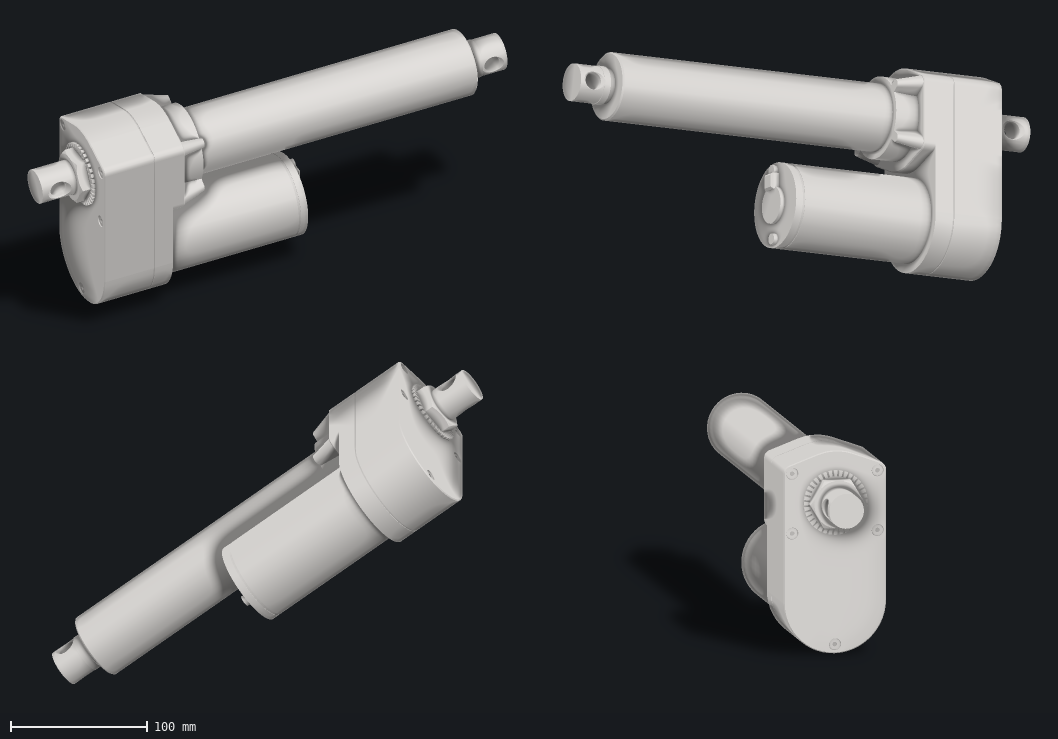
import cadquery as cq
import math


half_width = 38.5
motor_drop = 74.5
roof_tangent_x = 13.2
shoulder_radius = 6.0
thin_depth = 56.0
thick_depth = 66.0
edge_chamfer = 0.8
seam_y = 41.0
seam_width = 1.0
seam_depth = 0.55

screw_x = 32.0
screw_z = 22.5
bottom_screw_z = -106.5
counterbore_diameter = 9.0
counterbore_depth = 2.3
head_diameter = 8.5
head_height = 1.5
socket_diameter = 3.45
socket_depth = 1.0

collar_diameter = 61.5
collar_end = 84.8
boss_base = (32.0, 22.5, 5.3)
boss_tip = (29.0, 20.0, 3.5)
boss_root = 15.0

tube_diameter = 50.7
tube_end = 311.5
tube_chamfer = 1.0

motor_diameter = 63.5
motor_end = 169.5
motor_groove_diameter = 63.0
motor_groove_y = 162.0
motor_groove_width = 2.0
end_detail_height = 3.5
bearing_diameter = 28.0
motor_screw_diameter = 8.5
motor_screw_offset = 25.7
terminal_height = 6.5
terminal_size = 12.0
terminal_offset = 17.0
terminal_chamfer = 1.5

washer_diameter = 48.0
washer_thickness = 2.3
tooth_count = 36
tooth_gap_width = 1.5
tooth_gap_depth = 4.5
nut_flats = 35.2
nut_front = -10.2
nut_chamfer_diameter = 35.5
clevis_diameter = 26.0
clevis_front = -38.0
clevis_hole_y = -24.0
clevis_flare_diameter = 18.5

rod_tip = 340.5
rod_diameter = 26.0
eye_diameter = 28.0
rod_collar_diameter = 28.8
rod_collar_start = 315.5
rod_collar_end = 321.0
rod_hole_y = 329.3
rod_flare_diameter = 17.0

pin_diameter = 13.0


def rod_along_y(diameter, start, end, x=0, z=0):
    """Cylinder along Y from start to end."""
    return cq.Workplane(cq.Solid.makeCylinder(
        diameter / 2, end - start, cq.Vector(x, start, z), cq.Vector(0, 1, 0)))


def prism_along_y(outline, start, end):
    """Closed outline drawn in X and Z, extruded from start to end along Y."""
    return outline.extrude(start - end).translate((0, start, 0))


def pin_hole(y, shaft_diameter, flare_diameter):
    """Cross hole along X whose mouths flare at 45 degrees up to the shaft surface."""
    reach = shaft_diameter
    flare = (flare_diameter - pin_diameter) / 2
    inner_x = shaft_diameter / 2 - flare
    outer_radius = pin_diameter / 2 + reach - inner_x
    return (
        cq.Workplane("XY")
        .moveTo(-reach, 0)
        .lineTo(-reach, outer_radius)
        .lineTo(-inner_x, pin_diameter / 2)
        .lineTo(inner_x, pin_diameter / 2)
        .lineTo(reach, outer_radius)
        .lineTo(reach, 0)
        .close()
        .revolve(360, (0, 0, 0), (1, 0, 0))
        .translate((0, y, 0))
    )


roof_tangent_z = math.sqrt(half_width**2 - roof_tangent_x**2)
roof_slope = roof_tangent_x / roof_tangent_z
shoulder_z = roof_tangent_z - roof_slope * (half_width - roof_tangent_x)


def round_shoulders(block, z_sign):
    """Round the two long edges where the slopes meet the sides."""
    for x in (-half_width, half_width):
        near = cq.selectors.NearestToPointSelector((x, thin_depth / 2, z_sign * shoulder_z))
        block = block.edges("|Y").edges(near).fillet(shoulder_radius)
    return block


def gear_case():
    """Full outline around tube and motor, rounded at the bottom about the motor axis."""
    outline = (
        cq.Workplane("XZ")
        .moveTo(-roof_tangent_x, roof_tangent_z)
        .threePointArc((0, half_width), (roof_tangent_x, roof_tangent_z))
        .lineTo(half_width, shoulder_z)
        .lineTo(half_width, -motor_drop)
        .threePointArc((0, -motor_drop - half_width), (-half_width, -motor_drop))
        .lineTo(-half_width, shoulder_z)
        .close()
    )
    return round_shoulders(prism_along_y(outline, 0, thin_depth), 1)


def rear_pad():
    """Thicker part around the tube behind the seam, with an underside that mirrors the roof."""
    outline = (
        cq.Workplane("XZ")
        .moveTo(-roof_tangent_x, roof_tangent_z)
        .threePointArc((0, half_width), (roof_tangent_x, roof_tangent_z))
        .lineTo(half_width, shoulder_z)
        .lineTo(half_width, -shoulder_z)
        .lineTo(roof_tangent_x, -roof_tangent_z)
        .threePointArc((0, -half_width), (-roof_tangent_x, -roof_tangent_z))
        .lineTo(-half_width, -shoulder_z)
        .lineTo(-half_width, shoulder_z)
        .close()
    )
    pad = prism_along_y(outline, seam_y + seam_width / 2, thick_depth)
    pad = round_shoulders(round_shoulders(pad, 1), -1)
    return pad.faces(">Y").chamfer(edge_chamfer)


def seam_groove(case):
    """Thin band around the case that marks the joint between its two halves."""
    case_height = 2 * half_width + motor_drop
    slab = cq.Workplane("XY").box(2 * half_width, seam_width, case_height)
    band = case.intersect(slab.translate((0, seam_y, -motor_drop / 2)))
    rim = band.faces("<Y").val().outerWire()
    core = cq.Solid.extrudeLinear(rim.offset2D(-seam_depth)[0], [], cq.Vector(0, seam_width, 0))
    return band.cut(cq.Workplane(core))


def screw_recess(x, z):
    """Counterbore with a socket-head screw seated in it."""
    head_face = counterbore_depth - head_height
    recess = rod_along_y(counterbore_diameter, 0, counterbore_depth, x, z)
    head = rod_along_y(head_diameter, head_face, counterbore_depth, x, z)
    socket = rod_along_y(socket_diameter, head_face, head_face + socket_depth, x, z)
    return recess.cut(head.cut(socket))


def boss_section(y, x, z, radius):
    """Strip that runs outward from the tube axis and ends in a half circle around (x, z)."""
    distance = math.hypot(x, z)
    outward = cq.Vector(x / distance, 0, z / distance)
    sideways = cq.Vector(-z / distance, 0, x / distance) * radius
    centre = cq.Vector(x, y, z)
    root = outward * boss_root + cq.Vector(0, y, 0)
    return cq.Wire.assembleEdges([
        cq.Edge.makeLine(root - sideways, centre - sideways),
        cq.Edge.makeThreePointArc(centre - sideways, centre + outward * radius, centre + sideways),
        cq.Edge.makeLine(centre + sideways, root + sideways),
        cq.Edge.makeLine(root + sideways, root - sideways),
    ])


def collar():
    """Round collar around the tube with a tapered screw boss at each corner."""
    sections = [boss_section(thick_depth, *boss_base), boss_section(collar_end, *boss_tip)]
    upper_right = cq.Workplane(cq.Solid.makeLoft(sections, True))
    upper_pair = upper_right.union(upper_right.mirror("YZ"))
    bosses = upper_pair.union(upper_pair.mirror("XY"))
    return rod_along_y(collar_diameter, thick_depth, collar_end).union(bosses)


def motor():
    """Motor can with an end groove, bearing boss, two screw heads and a terminal block."""
    detail_end = motor_end + end_detail_height
    can = rod_along_y(motor_diameter, thin_depth, motor_end)
    groove_end = motor_groove_y + motor_groove_width
    groove = rod_along_y(motor_diameter, motor_groove_y, groove_end).cut(
        rod_along_y(motor_groove_diameter, motor_groove_y, groove_end))
    can = can.cut(groove)
    can = can.union(rod_along_y(bearing_diameter, motor_end, detail_end))
    for z in (-motor_screw_offset, motor_screw_offset):
        can = can.union(rod_along_y(motor_screw_diameter, motor_end, detail_end, 0, z))
    terminal = (
        cq.Workplane("XY")
        .box(terminal_size, terminal_height, terminal_size)
        .faces(">Y")
        .chamfer(terminal_chamfer)
        .translate((0, motor_end + terminal_height / 2, terminal_offset))
    )
    return can.union(terminal).translate((0, 0, -motor_drop))


def lock_washer():
    """Flat washer with narrow radial gaps that leave teeth around its rim."""
    washer = rod_along_y(washer_diameter, -washer_thickness, 0)
    tooth_pitch = 360 / tooth_count
    gap = cq.Workplane("XY").box(2 * tooth_gap_depth, washer_thickness, tooth_gap_width)
    gap = gap.translate((washer_diameter / 2, -washer_thickness / 2, 0))
    for i in range(tooth_count):
        washer = washer.cut(gap.rotate((0, 0, 0), (0, 1, 0), (i + 0.5) * tooth_pitch))
    return washer


def nut():
    """Hexagon nut with corners along X, bevelled at 30 degrees on its front face."""
    corner_diameter = nut_flats / math.cos(math.pi / 6)
    height = -washer_thickness - nut_front
    hexagon = prism_along_y(cq.Workplane("XZ").polygon(6, corner_diameter), nut_front, -washer_thickness)
    cone_height = height / math.tan(math.pi / 6)
    bevel = cq.Solid.makeCone(
        nut_chamfer_diameter / 2, nut_chamfer_diameter / 2 + cone_height, height,
        cq.Vector(0, nut_front, 0), cq.Vector(0, 1, 0))
    return hexagon.intersect(cq.Workplane(bevel))


def clevis():
    """Round mounting end in front of the nut, with a cross pin hole."""
    shaft = rod_along_y(clevis_diameter, clevis_front, nut_front)
    return shaft.cut(pin_hole(clevis_hole_y, clevis_diameter, clevis_flare_diameter))


def make_actuator_body():
    """Housing, collar, tube, motor, washer, nut and clevis as one solid with a rod bore."""
    case = gear_case().faces("<Y").chamfer(edge_chamfer)
    body = case.cut(seam_groove(case)).union(rear_pad())
    for x in (-screw_x, screw_x):
        for z in (-screw_z, screw_z):
            body = body.cut(screw_recess(x, z))
    body = body.cut(screw_recess(0, bottom_screw_z))
    tube = rod_along_y(tube_diameter, thick_depth, tube_end).faces(">Y").chamfer(tube_chamfer)
    for part in (collar(), tube, motor(), lock_washer(), nut(), clevis()):
        body = body.union(part)
    return body.cut(rod_along_y(rod_diameter, collar_end, tube_end))


def make_rod():
    """Rod filling the tube bore, with a collar and a drilled eye at its outer end."""
    shaft = rod_along_y(rod_diameter, collar_end, rod_collar_start)
    shaft = shaft.union(rod_along_y(rod_collar_diameter, rod_collar_start, rod_collar_end))
    shaft = shaft.union(rod_along_y(eye_diameter, rod_collar_end, rod_tip))
    return shaft.cut(pin_hole(rod_hole_y, eye_diameter, rod_flare_diameter))


actuator_body = make_actuator_body()
rod = make_rod()

result = cq.Compound.makeCompound([actuator_body.val(), rod.val()])